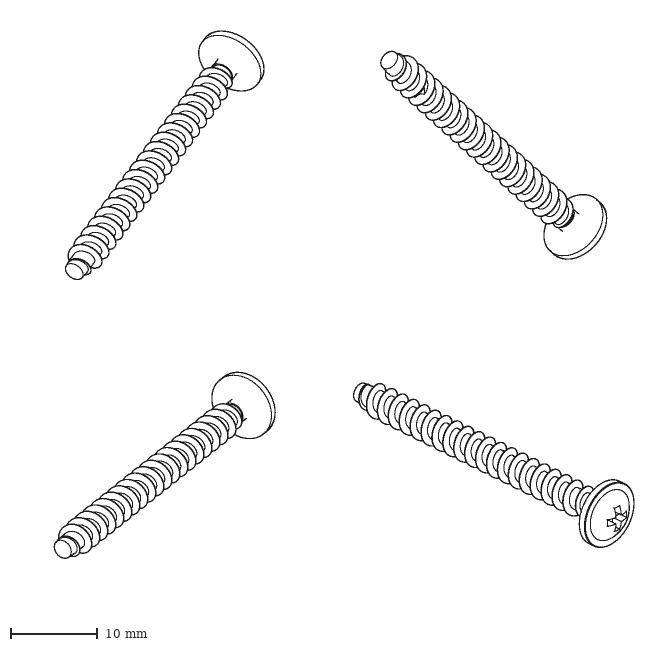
import cadquery as cq
import math

total_length = 42.4
head_height = 2.4
shank_length = total_length - head_height

flange_diameter = 8.0
flange_thickness = 0.95
flange_chamfer = 0.1
dome_diameter = 6.28
recess_span = 3.05
recess_width = 0.85
recess_depth = 1.45

neck_diameter = 2.75
neck_length = 2.0
neck_fillet = 0.6
core_diameter = 2.45
tip_diameter = 2.3
tip_taper_length = 1.0

flat_distance = 0.75
flat_length = 0.95
flat_skew = -30
neck_flat_start = -7.8
tip_flat_start = -34.25

thread_diameter = 4.07
thread_length = 38.1
thread_turns = 21.25
thread_start = -1.53
fade_in_turns = 1.25
fade_out_turns = 1.25
neck_crest_radius = 1.3
tip_crest_radius = 1.15
crest_width = 0.1
flank_widening = 0.5
root_depth = 0.5
points_per_turn = 16

pitch = thread_length / thread_turns
crest_radius = thread_diameter / 2


def revolved_body():
    """Head, neck, core and tapered tip turned about the Y axis."""
    flange_radius = flange_diameter / 2
    dome_radius = dome_diameter / 2
    neck_radius = neck_diameter / 2
    core_radius = core_diameter / 2

    corner_radius = recess_width / math.sqrt(2)
    corner_rise = head_height - flange_thickness
    centre_drop = (dome_radius**2 - corner_radius**2 - corner_rise**2) / (2 * corner_rise)
    sphere_radius = math.hypot(dome_radius, centre_drop)
    sphere_centre = flange_thickness - centre_drop
    half_angle = math.asin(dome_radius / sphere_radius) / 2
    arc_middle = (
        sphere_radius * math.sin(half_angle),
        sphere_centre + sphere_radius * math.cos(half_angle),
    )
    fillet_middle = neck_fillet * (1 - math.sqrt(0.5))

    profile = (
        cq.Workplane("XY")
        .moveTo(0, sphere_centre + sphere_radius)
        .threePointArc(arc_middle, (dome_radius, flange_thickness))
        .lineTo(flange_radius - flange_chamfer, flange_thickness)
        .lineTo(flange_radius, flange_thickness - flange_chamfer)
        .lineTo(flange_radius, 0)
        .lineTo(neck_radius + neck_fillet, 0)
        .threePointArc((neck_radius + fillet_middle, -fillet_middle), (neck_radius, -neck_fillet))
        .lineTo(neck_radius, -neck_length)
        .lineTo(core_radius, -neck_length)
        .lineTo(core_radius, -shank_length + tip_taper_length)
        .lineTo(tip_diameter / 2, -shank_length)
        .lineTo(0, -shank_length)
        .close()
    )
    return profile.revolve(360, (0, 0, 0), (0, 1, 0))


def cross_recess():
    """Straight-walled cross cut down from the top of the head."""
    cutter_height = 2 * recess_depth
    wing = cq.Workplane("XY").box(recess_span, cutter_height, recess_width)
    cross = wing.union(wing.rotate((0, 0, 0), (0, 1, 0), 90))
    return cross.translate((0, head_height, 0))


def flat_cutter():
    """Cutter for a flat on the -X side with a square edge at Y = 0 and a skewed 45 degree run-out."""
    reach = core_diameter
    profile = (
        cq.Workplane("XY")
        .moveTo(-flat_distance, reach)
        .lineTo(-flat_distance, -flat_length)
        .lineTo(-flat_distance - reach, -flat_length - reach)
        .lineTo(-flat_distance - reach, reach)
        .close()
    )
    skewed = profile.extrude(reach, both=True).rotate((0, -flat_length, 0), (1, -flat_length, 0), flat_skew)
    block = 4 * reach
    below_edge = cq.Workplane("XY").box(block, block, block).translate((0, -block / 2, 0))
    return skewed.intersect(below_edge)


def core_flats():
    """One flat facing -X near the neck, and its reversed twin facing -Z near the tip."""
    neck_flat = flat_cutter().translate((0, neck_flat_start, 0))
    reversed_flat = flat_cutter().rotate((0, 0, 0), (1, 0, 0), 180)
    tip_flat = reversed_flat.rotate((0, 0, 0), (0, 1, 0), -90).translate((0, tip_flat_start, 0))
    return neck_flat.add(tip_flat).combine()


def root_radius_at(turn):
    """Constant root radius, buried in the core so that the thread joins it soundly."""
    return core_diameter / 2 - root_depth


def crest_radius_at(turn):
    """Crest radius, rising linearly at the neck and sinking into the core at the tip."""
    fade_in = (crest_radius - neck_crest_radius) * turn / fade_in_turns
    fade_out = (crest_radius - tip_crest_radius) * (thread_turns - turn) / fade_out_turns
    return min(crest_radius, neck_crest_radius + fade_in, tip_crest_radius + fade_out)


def half_width_at(turn, radius):
    """Half the axial width of the thread at a radius; the flanks keep the same slope everywhere."""
    return (crest_width + flank_widening * (crest_radius_at(turn) - radius)) / 2


def thread_point(turn, radius, axial_offset):
    """Point on a right-handed helix that starts at +Z and advances toward -Y."""
    angle = 2 * math.pi * turn
    return cq.Vector(
        -radius * math.sin(angle),
        thread_start - pitch * turn + axial_offset,
        radius * math.cos(angle),
    )


def thread_edge(first_turn, last_turn, radius_at, side):
    """Helical edge on one side of the thread, between two turns, at a radius set by the turn."""
    span = last_turn - first_turn
    steps = math.ceil(span * points_per_turn)
    points = []
    for step in range(steps + 1):
        turn = first_turn + span * step / steps
        radius = radius_at(turn)
        points.append(thread_point(turn, radius, side * half_width_at(turn, radius)))
    return cq.Edge.makeSpline(points)


def section_edges(first_turn, last_turn):
    """The four corner edges of one stretch of thread, in order around its section."""
    corners = [(root_radius_at, -1), (crest_radius_at, -1), (crest_radius_at, 1), (root_radius_at, 1)]
    return [thread_edge(first_turn, last_turn, radius_at, side) for radius_at, side in corners]


def thread():
    """Solid trapezoidal ridge with ruled faces, built one stretch after another."""
    full_turns = round(thread_turns - fade_in_turns - fade_out_turns)
    breaks = [fade_in_turns + turn for turn in range(full_turns)]
    breaks.append(thread_turns - fade_out_turns)
    stretches = [section_edges(*ends) for ends in zip([0, *breaks], [*breaks, thread_turns])]

    faces = []
    for edges in stretches:
        faces += [cq.Face.makeRuledSurface(edges[i - 1], edges[i]) for i in range(4)]
    start_corners = [edge.startPoint() for edge in stretches[0]]
    end_corners = [edge.endPoint() for edge in stretches[-1]]
    for corners in (start_corners, end_corners):
        faces.append(cq.Face.makeFromWires(cq.Wire.makePolygon(corners, close=True)))
    return cq.Workplane(cq.Solid.makeSolid(cq.Shell.makeShell(faces)))


body = revolved_body().cut(cross_recess()).cut(core_flats())
result = body.union(thread())